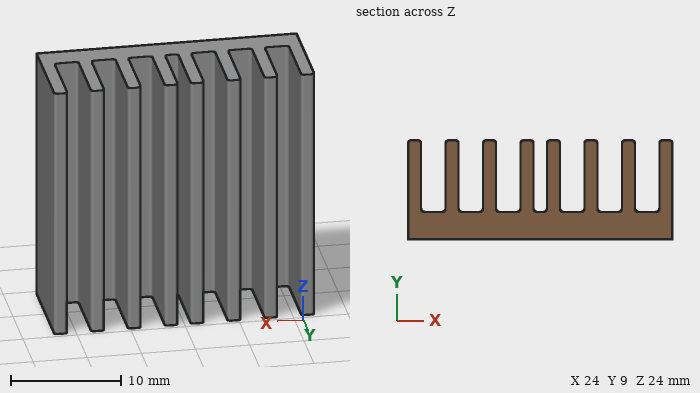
import cadquery as cq

WIDTH = 24.0
DEPTH = 9.0
HEIGHT = 24.0

BASE_THICKNESS = 2.5
FIN_THICKNESS = 1.2
FIN_PITCH = 3.4
FINS_PER_SIDE = 4
TIP_RADIUS = 0.3
ROOT_RADIUS = 0.3

FIN_LENGTH = DEPTH - BASE_THICKNESS
OUTER_FIN_X = (WIDTH - FIN_THICKNESS) / 2

BASE_FRONT_Y = -DEPTH / 2
FIN_ROOT_Y = BASE_FRONT_Y + BASE_THICKNESS
FIN_TIP_Y = DEPTH / 2


def make_base():
    """Solid plate that carries the fins."""
    return (
        cq.Workplane("XY")
        .box(WIDTH, BASE_THICKNESS, HEIGHT)
        .translate((0, BASE_FRONT_Y + BASE_THICKNESS / 2, 0))
    )


def make_fin(center_x):
    """Full-height fin standing on the base along +Y."""
    return (
        cq.Workplane("XY")
        .box(FIN_THICKNESS, FIN_LENGTH, HEIGHT)
        .translate((center_x, FIN_ROOT_Y + FIN_LENGTH / 2, 0))
    )


def round_vertical_edges(body, y, radius):
    """Round every edge parallel to Z that lies in the plane at the given Y."""
    tolerance = radius / 10
    slab_low = (-WIDTH, y - tolerance, -HEIGHT)
    slab_high = (WIDTH, y + tolerance, HEIGHT)
    return body.edges("|Z").edges(cq.selectors.BoxSelector(slab_low, slab_high)).fillet(radius)


def make_heat_sink():
    body = make_base()
    for side in (-1, 1):
        for index in range(FINS_PER_SIDE):
            body = body.union(make_fin(side * (OUTER_FIN_X - index * FIN_PITCH)))
    body = body.clean()
    body = round_vertical_edges(body, FIN_ROOT_Y, ROOT_RADIUS)
    return round_vertical_edges(body, FIN_TIP_Y, TIP_RADIUS)


result = make_heat_sink()